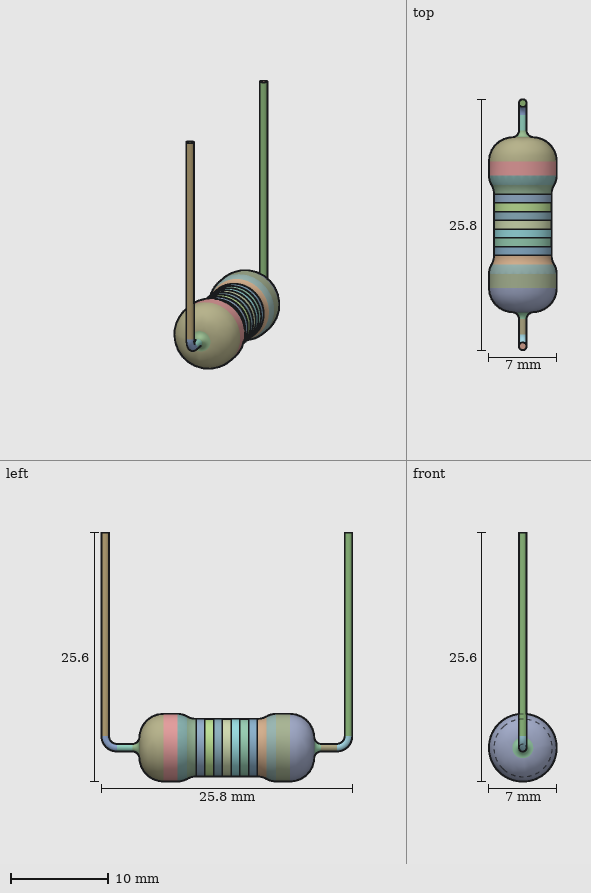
import cadquery as cq
import math


body_length = 18.0
cap_radius = 7.0 / 2
cap_rounding = 2.5
cap_cylinder_length = 1.45

waist_radius = 5.95 / 2
band_radius = 5.97 / 2
band_width = 0.9
band_count = 4
band_pitch = 2 * band_width
waist_length = (2 * band_count - 1) * band_width

lead_radius = 0.8 / 2
lead_spacing = 25.0
lead_top = 22.1
bend_radius = 1.2
lead_fillet = 0.7

half_body = body_length / 2
half_waist = waist_length / 2
lead_y = lead_spacing / 2
cap_round_end = half_body - cap_rounding
shoulder_end = cap_round_end - cap_cylinder_length

arc_length = (shoulder_end - half_waist) / 2
arc_drop = (cap_radius - waist_radius) / 2
shoulder_radius = (arc_length**2 + arc_drop**2) / (2 * arc_drop)
half_angle = math.asin(arc_length / shoulder_radius) / 2
arc_mid_length = shoulder_radius * math.sin(half_angle)
arc_mid_drop = shoulder_radius * (1 - math.cos(half_angle))

rounding_center = cap_radius - cap_rounding
fillet_center = lead_radius + lead_fillet
tangent_angle = math.asin((fillet_center - rounding_center) / (cap_rounding + lead_fillet))
fillet_end = cap_round_end + (cap_rounding + lead_fillet) * math.cos(tangent_angle)
fillet_start = (
    rounding_center + cap_rounding * math.sin(tangent_angle),
    cap_round_end + cap_rounding * math.cos(tangent_angle),
)


def diagonal_arc_point(center_x, center_y, radius, sign_x, sign_y):
    """Return the point at 45 degrees on an arc, in the quadrant given by the signs."""
    offset = radius * math.sqrt(0.5)
    return (center_x + sign_x * offset, center_y + sign_y * offset)


def make_cap():
    """Revolve the +Y cap, from the waist to the fillet around the lead."""
    cap_diagonal = diagonal_arc_point(rounding_center, cap_round_end, cap_rounding, 1, 1)
    fillet_diagonal = diagonal_arc_point(fillet_center, fillet_end, lead_fillet, -1, -1)
    waist_arc_mid = (waist_radius + arc_mid_drop, half_waist + arc_mid_length)
    cap_arc_mid = (cap_radius - arc_mid_drop, shoulder_end - arc_mid_length)
    inflection = (waist_radius + arc_drop, half_waist + arc_length)
    profile = (
        cq.Workplane("XY")
        .moveTo(0, half_waist)
        .lineTo(waist_radius, half_waist)
        .threePointArc(waist_arc_mid, inflection)
        .threePointArc(cap_arc_mid, (cap_radius, shoulder_end))
        .lineTo(cap_radius, cap_round_end)
        .threePointArc(cap_diagonal, fillet_start)
        .threePointArc(fillet_diagonal, (lead_radius, fillet_end))
        .lineTo(0, fillet_end)
        .close()
    )
    return profile.revolve(360, (0, 0, 0), (0, 1, 0))


def make_lead():
    """Sweep the +Y lead out of the body and up through its bend."""
    bend_start = lead_y - bend_radius
    bend_diagonal = diagonal_arc_point(bend_start, bend_radius, bend_radius, 1, -1)
    path = (
        cq.Workplane("YZ")
        .moveTo(half_body, 0)
        .lineTo(bend_start, 0)
        .threePointArc(bend_diagonal, (lead_y, bend_radius))
        .lineTo(lead_y, lead_top)
    )
    section = cq.Workplane("XZ", origin=(0, half_body, 0)).circle(lead_radius)
    return section.sweep(path)


def make_disc(start_y, radius, length):
    """Make a round disc on the body axis that runs from start_y toward +Y."""
    plane = cq.Workplane("XZ", origin=(0, start_y + length, 0))
    return plane.circle(radius).extrude(length)


def make_waist():
    """Make the waist with its evenly spaced colour bands."""
    waist = make_disc(-half_waist, waist_radius, waist_length)
    for index in range(band_count):
        band_start = -half_waist + index * band_pitch
        waist = waist.union(make_disc(band_start, band_radius, band_width))
    return waist


end_part = make_cap().union(make_lead())
result = make_waist().union(end_part).union(end_part.mirror("XZ"))